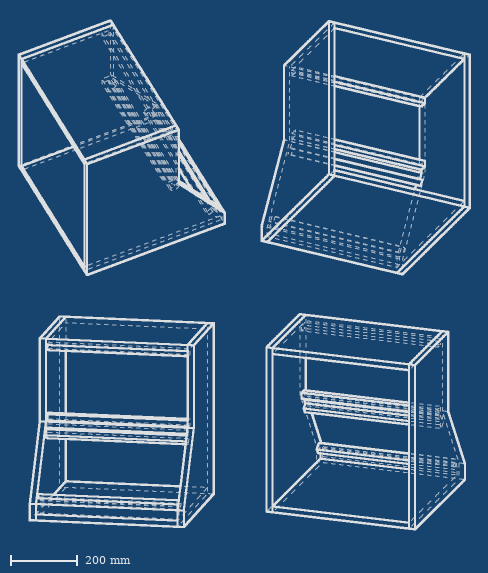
import cadquery as cq
import math


WIDTH = 469.9
DEPTH = 457.2
BOARD = 19.05
UPPER_DEPTH = 304.8
KICK_HEIGHT = 50.8
SLOPE_LENGTH = 266.7
UPPER_HEIGHT = 254.0
CLEAT_RECESS = 14.29
CLEAT_REACH = 38.1

INNER_WIDTH = WIDTH - 2 * BOARD
SLOPE_RUN = DEPTH - UPPER_DEPTH
SLOPE_RISE = math.sqrt(SLOPE_LENGTH**2 - SLOPE_RUN**2)
KNEE_Z = KICK_HEIGHT + SLOPE_RISE
HEIGHT = KNEE_Z + UPPER_HEIGHT


def board(profile, x_start, width):
    """Extrude a closed (Y, Z) profile along X from x_start."""
    return cq.Workplane("YZ", origin=(x_start, 0, 0)).polyline(profile).close().extrude(width)


def spanning_board(profile):
    """Board that fits between the two sides."""
    return board(profile, -INNER_WIDTH / 2, INNER_WIDTH)


def rectangle(y_start, y_end, z_start, z_end):
    return [(y_start, z_start), (y_end, z_start), (y_end, z_end), (y_start, z_end)]


def slope_point(down, inward):
    """(Y, Z) of a point 'down' the slope from the knee and 'inward' square to it."""
    y_step = SLOPE_RUN / SLOPE_LENGTH
    z_step = SLOPE_RISE / SLOPE_LENGTH
    y = UPPER_DEPTH + down * y_step - inward * z_step
    z = KNEE_Z - down * z_step - inward * y_step
    return (y, z)


def make_side(x_start):
    outline = [
        (0, 0),
        (DEPTH, 0),
        (DEPTH, KICK_HEIGHT),
        (UPPER_DEPTH, KNEE_Z),
        (UPPER_DEPTH, HEIGHT),
        (0, HEIGHT),
    ]
    return board(outline, x_start, BOARD)


def make_kick_board():
    """Back board on the bottom panel, bent over to follow the foot of the slope."""
    rim = SLOPE_LENGTH - BOARD
    inner_y = DEPTH - BOARD
    bend_z = KICK_HEIGHT - BOARD * (SLOPE_LENGTH - SLOPE_RISE) / SLOPE_RUN
    return spanning_board([
        (DEPTH, BOARD),
        (DEPTH, KICK_HEIGHT),
        slope_point(rim, 0),
        slope_point(rim, BOARD),
        (inner_y, bend_z),
        (inner_y, BOARD),
    ])


def make_knee_rail():
    """Square strip at the head of the slope, with a level top and an upright inner face."""
    inner_y, inner_z = slope_point(0, BOARD)
    return spanning_board([
        (UPPER_DEPTH, KNEE_Z),
        slope_point(BOARD, 0),
        slope_point(BOARD, BOARD),
        (inner_y, inner_z),
        (inner_y, KNEE_Z),
    ])


def make_upright_cleat(z_start):
    """Cleat recessed behind the upright opening."""
    y_start = UPPER_DEPTH - CLEAT_REACH
    y_end = UPPER_DEPTH - CLEAT_RECESS
    return spanning_board(rectangle(y_start, y_end, z_start, z_start + BOARD))


def make_slope_cleat(down_start):
    """Cleat recessed behind the sloped opening."""
    down_end = down_start + BOARD
    return spanning_board([
        slope_point(down_start, CLEAT_RECESS),
        slope_point(down_end, CLEAT_RECESS),
        slope_point(down_end, CLEAT_REACH),
        slope_point(down_start, CLEAT_REACH),
    ])


sides = [make_side(x_start) for x_start in (-WIDTH / 2, INNER_WIDTH / 2)]
bottom_panel = spanning_board(rectangle(0, DEPTH, 0, BOARD))
top_panel = spanning_board(rectangle(0, UPPER_DEPTH, HEIGHT - BOARD, HEIGHT))
kick_board = make_kick_board()
knee_rail = make_knee_rail()

upright_cleats = [make_upright_cleat(z_start) for z_start in (KNEE_Z, HEIGHT - 2 * BOARD)]
slope_cleats = [make_slope_cleat(down) for down in (BOARD, SLOPE_LENGTH - 2 * BOARD)]

result = cq.Compound.makeCompound([
    *[side.val() for side in sides],
    bottom_panel.val(),
    top_panel.val(),
    kick_board.val(),
    knee_rail.val(),
    *[cleat.val() for cleat in upright_cleats],
    *[cleat.val() for cleat in slope_cleats],
])